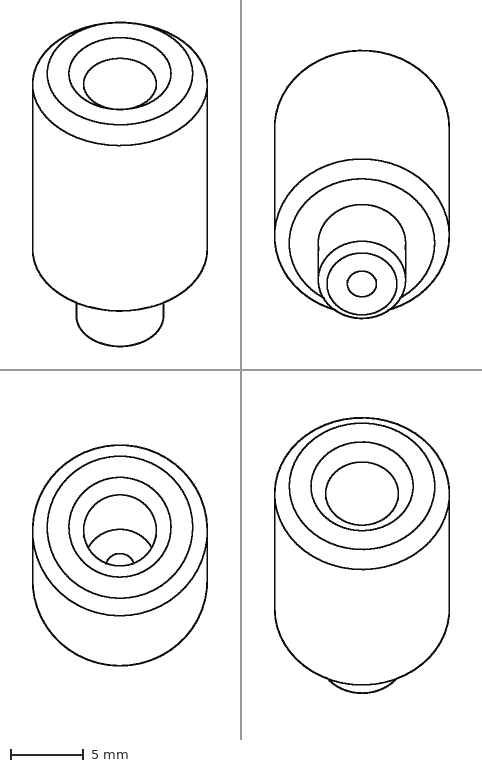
import cadquery as cq
import math

total_height = 24.0
body_diameter = 12.0
body_height = 18.0
body_chamfer = 1.0
stud_diameter = body_diameter / 2
stud_height = total_height - body_height
stud_chamfer = 0.6

bore_diameter = 5.0
bore_depth = 12.0
countersink_depth = 1.0
drill_point_angle = 118.0
through_diameter = 2.0


def make_body():
    """Large cylinder chamfered at both ends."""
    body = cq.Workplane("XY").workplane(offset=stud_height).circle(body_diameter / 2).extrude(body_height)
    return body.faces("<Z or >Z").edges().chamfer(body_chamfer)


def make_stud():
    """Narrow cylinder below the body, chamfered at its tip."""
    stud = cq.Workplane("XY").circle(stud_diameter / 2).extrude(stud_height)
    return stud.faces("<Z").edges().chamfer(stud_chamfer)


def make_axial_hole():
    """Revolved half profile of the complete stepped hole."""
    bore_radius = bore_diameter / 2
    through_radius = through_diameter / 2
    bore_floor = total_height - bore_depth
    half_angle = math.radians(drill_point_angle / 2)
    point_depth = (bore_radius - through_radius) / math.tan(half_angle)
    profile = (
        cq.Workplane("XZ")
        .lineTo(through_radius, 0)
        .lineTo(through_radius, bore_floor - point_depth)
        .lineTo(bore_radius, bore_floor)
        .lineTo(bore_radius, total_height - countersink_depth)
        .lineTo(bore_radius + countersink_depth, total_height)
        .lineTo(0, total_height)
        .close()
    )
    return profile.revolve(360, (0, 0, 0), (0, 1, 0))


result = make_body().union(make_stud()).cut(make_axial_hole())